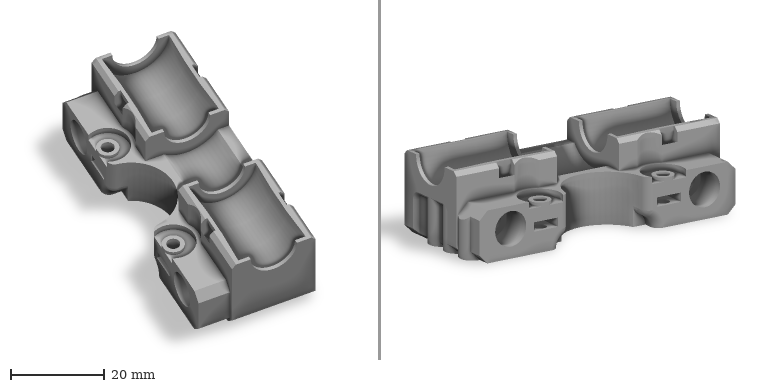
import cadquery as cq


body_length = 68.0
body_depth = 27.5
body_height = 19.0
block_length = 26.0
block_depth = 20.0
block_top_chamfer = 1.0
saddle_height = 13.7
bottom_chamfer = 2.0

plate_height = 11.9
plate_end_inset = 1.0
plate_chamfer = 2.0

seat_length = 24.2
seat_end_radius = 8.0
seat_waist_radius = 7.6
seat_end_land = 1.0
rod_clearance_radius = 5.5
saddle_bore_radius = 9.0

tie_width = 4.0
tie_inner_radius = 8.5
tie_outer_radius = 10.5

mount_spacing = 50.0
mount_height = 6.7
mount_hole_diameter = 5.0
mount_counterbore_diameter = 8.0

screw_spacing = 31.75
screw_front_offset = 2.4
screw_hole_diameter = 3.0
screw_recess_diameter = 10.0
screw_recess_depth = 1.6
screw_boss_diameter = 5.0
screw_boss_height = 0.85
tool_clearance_radius = 6.0
nut_slot_width = 6.2
nut_slot_height = 2.1
nut_slot_floor = 5.0
nut_slot_depth = 5.5
screw_hole_floor = 2.0

cutout_radius = 10.0
cutout_inset = 0.2
front_fillet = 2.0
relief_radius = 3.0
relief_center_x = 9.4
relief_depth = 4.0

recess_depth = 1.0
recess_width = 13.3
recess_height = 10.6
recess_corner_radius = 1.9
recess_wall_slope = 45.0
rib_radius = 3.0
rib_pitch = 5.9
rib_count = 3
first_rib_y = 0.2

half_length = body_length / 2
plate_half_length = half_length - plate_end_inset
back_y = block_depth / 2
block_front_y = -block_depth / 2
front_y = back_y - body_depth
axis_z = body_height
block_centers = [side * (half_length - block_length / 2) for side in (-1, 1)]
screw_y = front_y + screw_front_offset
screw_centers = [side * screw_spacing / 2 for side in (-1, 1)]
plate_overhang = block_front_y - front_y
saddle_length = body_length - 2 * block_length


def box_between(x_min, x_max, y_min, y_max, z_min, z_max):
    size = (x_max - x_min, y_max - y_min, z_max - z_min)
    return cq.Workplane("XY").box(*size, centered=False).translate((x_min, y_min, z_min))


def upright_cylinder(x, y, radius, z_min, z_max):
    return cq.Workplane("XY", origin=(x, y, z_min)).circle(radius).extrude(z_max - z_min)


def bearing_axis_cylinder(x_min, x_max, radius):
    return cq.Workplane("YZ", origin=(x_min, 0, axis_z)).circle(radius).extrude(x_max - x_min)


def main_body():
    lower = box_between(-half_length, half_length, block_front_y, back_y, 0, plate_height)
    lower = lower.edges("|Y and <Z").chamfer(bottom_chamfer)
    saddle = box_between(-half_length, half_length, 0, back_y, plate_height, saddle_height)
    body = lower.union(saddle)
    for center in block_centers:
        block = box_between(
            center - block_length / 2, center + block_length / 2,
            block_front_y, back_y, plate_height, body_height,
        )
        body = body.union(block.edges("|X and >Z").chamfer(block_top_chamfer))
    return body


def front_plate():
    plate = box_between(-plate_half_length, plate_half_length, front_y, 0, 0, plate_height)
    return plate.edges("|Y").chamfer(plate_chamfer)


def end_recess():
    overshoot = recess_height / 2
    return (
        cq.Workplane("YZ", origin=(-half_length, 0, (recess_height - overshoot) / 2))
        .sketch()
        .rect(recess_width, recess_height + overshoot)
        .vertices()
        .fillet(recess_corner_radius)
        .finalize()
        .extrude(recess_depth, taper=recess_wall_slope)
    )


def end_ribs():
    rib_x = -half_length + rib_radius
    rib_size = 2 * rib_radius
    chamfer_outer_z = plate_height - plate_chamfer - plate_end_inset
    ribs = cq.Workplane("XY")
    for index in range(rib_count):
        rib_y = first_rib_y - index * rib_pitch
        if rib_y > block_front_y:
            outer_z, rise = recess_height, -rib_size
        else:
            outer_z, rise = chamfer_outer_z, rib_size
        space_above = (
            cq.Workplane("XZ", origin=(-half_length, rib_y + rib_radius, 0))
            .moveTo(0, outer_z)
            .line(rib_size, rise)
            .lineTo(rib_size, body_height)
            .lineTo(0, body_height)
            .close()
            .extrude(rib_size)
        )
        rib = upright_cylinder(rib_x, rib_y, rib_radius, 0, plate_height)
        ribs = ribs.union(rib.cut(space_above))
    return ribs


def bearing_seat(center):
    half_seat = seat_length / 2
    half_waist = half_seat - seat_end_land
    return (
        cq.Workplane("XY", origin=(center, 0, axis_z))
        .moveTo(-half_seat, 0)
        .lineTo(-half_seat, seat_end_radius)
        .lineTo(-half_waist, seat_end_radius)
        .threePointArc((0, seat_waist_radius), (half_waist, seat_end_radius))
        .lineTo(half_seat, seat_end_radius)
        .lineTo(half_seat, 0)
        .close()
        .revolve(360, (0, 0, 0), (1, 0, 0))
    )


def tie_tunnel(center):
    start = center - tie_width / 2
    return (
        cq.Workplane("YZ", origin=(start, 0, axis_z))
        .circle(tie_outer_radius)
        .circle(tie_inner_radius)
        .extrude(tie_width)
    )


def front_cutout():
    cutout = upright_cylinder(0, front_y + cutout_inset, cutout_radius, 0, plate_height)
    for side in (-1, 1):
        relief_start = cq.Workplane("XZ", origin=(side * relief_center_x, front_y, 0))
        cutout = cutout.union(relief_start.circle(relief_radius).extrude(-relief_depth))
    return cutout


def round_cutout_corners(body):
    window_margin = 0.5
    reach = relief_center_x + relief_radius
    window = cq.selectors.BoxSelector(
        (-reach, front_y - window_margin, window_margin),
        (reach, front_y + relief_depth - window_margin, plate_height - window_margin),
    )
    return body.edges(window).fillet(front_fillet)


def mount_hole(x):
    start = cq.Workplane("XZ", origin=(x, front_y, mount_height))
    hole = start.circle(mount_hole_diameter / 2).extrude(-body_depth)
    return hole.union(start.circle(mount_counterbore_diameter / 2).extrude(-plate_overhang))


def screw_seat(x):
    recess_floor = plate_height - screw_recess_depth
    boss_top = recess_floor + screw_boss_height
    recess = upright_cylinder(x, screw_y, screw_recess_diameter / 2, recess_floor, plate_height)
    boss = upright_cylinder(x, screw_y, screw_boss_diameter / 2, recess_floor, boss_top)
    hole = upright_cylinder(x, screw_y, screw_hole_diameter / 2, screw_hole_floor, plate_height)
    tool_path = upright_cylinder(x, screw_y, tool_clearance_radius, plate_height, body_height)
    nut_slot = box_between(
        x - nut_slot_width / 2, x + nut_slot_width / 2,
        front_y, front_y + nut_slot_depth,
        nut_slot_floor, nut_slot_floor + nut_slot_height,
    )
    return recess.cut(boss).union(hole).union(tool_path).union(nut_slot)


result = main_body().cut(end_recess()).union(front_plate()).union(end_ribs())
result = result.cut(front_cutout())
result = round_cutout_corners(result)

result = result.cut(bearing_axis_cylinder(-half_length, half_length, rod_clearance_radius))
result = result.cut(bearing_axis_cylinder(-saddle_length / 2, saddle_length / 2, saddle_bore_radius))
for block_center in block_centers:
    result = result.cut(bearing_seat(block_center)).cut(tie_tunnel(block_center))

for side in (-1, 1):
    result = result.cut(mount_hole(side * mount_spacing / 2))
for screw_x in screw_centers:
    result = result.cut(screw_seat(screw_x))